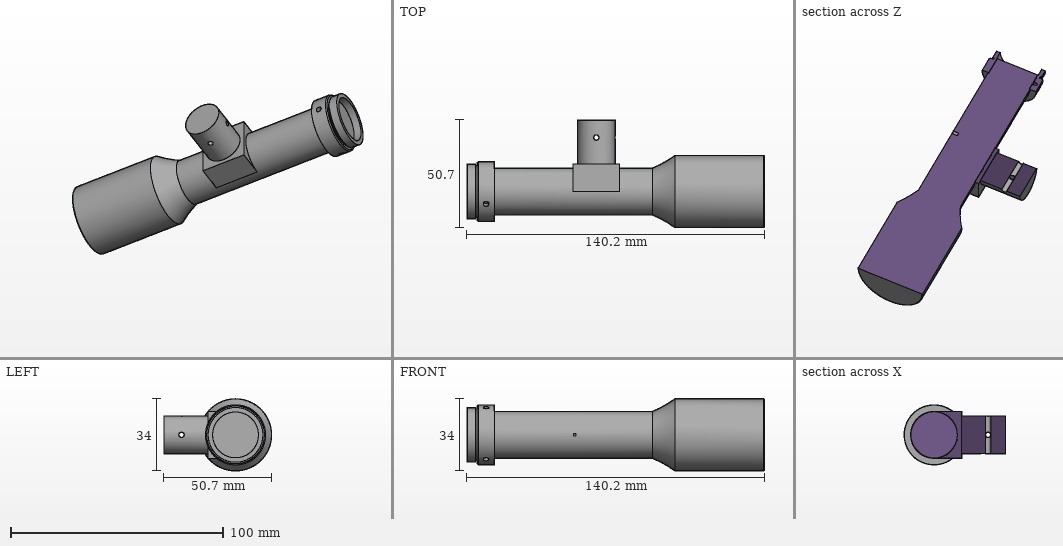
import cadquery as cq
import math

total_length = 140.2

tube_radius = 11.1
head_diameter = 34.0
flare_start = 87.3
flare_end = 98.0
flare_sag = 0.35
head_chamfer = 0.4
vent_x = 50.7
vent_diameter = 1.3
vent_depth = 2.8

block_start = 49.9
block_length = 22.0
block_reach = 13.0

port_radius = 9.0
overall_width = 50.7
port_hole_from_end = 8.3
port_hole_diameter = 2.4

nose_radius = 12.9
nose_length = 4.0
neck_radius = 12.2
ring_start = 4.8
ring_end = 12.9
ring_radius = 14.2
ring_chamfer = 0.5
mount_bore_radius = 10.8
nose_recess = 3.6
screw_x = 9.0
screw_diameter = 2.5
screw_count = 3
first_screw_angle = 114.5

head_radius = head_diameter / 2
port_end = overall_width - head_radius
block_middle = block_start + block_length / 2
port_hole_y = port_end - port_hole_from_end


def revolve_about_x(profile):
    """Turn a half profile drawn in the XZ plane into a round body about X."""
    return profile.close().revolve(360, (0, 0, 0), (1, 0, 0))


def make_barrel():
    """Solid barrel: spigot inside the mount, tube, concave flare and head."""
    flare_length = flare_end - flare_start
    flare_rise = head_radius - tube_radius
    flare_chord = math.hypot(flare_length, flare_rise)
    flare_middle = (
        flare_start + flare_length / 2 + flare_sag * flare_rise / flare_chord,
        tube_radius + flare_rise / 2 - flare_sag * flare_length / flare_chord,
    )
    profile = (
        cq.Workplane("XZ")
        .moveTo(nose_recess, 0)
        .lineTo(nose_recess, mount_bore_radius)
        .lineTo(ring_end, mount_bore_radius)
        .lineTo(ring_end, tube_radius)
        .lineTo(flare_start, tube_radius)
        .threePointArc(flare_middle, (flare_end, head_radius))
        .lineTo(total_length - head_chamfer, head_radius)
        .lineTo(total_length, head_radius - head_chamfer)
        .lineTo(total_length, 0)
    )
    vent = (
        cq.Workplane("XZ", origin=(vent_x, -tube_radius, 0))
        .circle(vent_diameter / 2)
        .extrude(-vent_depth)
    )
    return revolve_about_x(profile).cut(vent)


def make_block():
    """Side block whose round saddle fits the tube; its top and bottom are tangent to it."""
    block = cq.Workplane("XY", origin=(block_start, 0, 0)).box(
        block_length, block_reach, 2 * tube_radius, centered=(False, False, True)
    )
    saddle = (
        cq.Workplane("YZ", origin=(block_start, 0, 0))
        .circle(tube_radius)
        .extrude(block_length)
    )
    return block.cut(saddle)


def make_port():
    """Side port standing on the block, with two crossing holes near its end."""
    port = (
        cq.Workplane("XZ", origin=(block_middle, block_reach, 0))
        .circle(port_radius)
        .extrude(block_reach - port_end)
    )
    for plane in ("XY", "YZ"):
        cross_hole = (
            cq.Workplane(plane, origin=(block_middle, port_hole_y, 0))
            .circle(port_hole_diameter / 2)
            .extrude(port_radius, both=True)
        )
        port = port.cut(cross_hole)
    return port


def make_mount():
    """Mount sleeve: nose, neck and a ring with radial screw holes."""
    profile = (
        cq.Workplane("XZ")
        .moveTo(0, mount_bore_radius)
        .lineTo(0, nose_radius)
        .lineTo(nose_length, nose_radius)
        .lineTo(nose_length, neck_radius)
        .lineTo(ring_start, neck_radius)
        .lineTo(ring_start, ring_radius - ring_chamfer)
        .lineTo(ring_start + ring_chamfer, ring_radius)
        .lineTo(ring_end, ring_radius)
        .lineTo(ring_end, mount_bore_radius)
    )
    mount = revolve_about_x(profile)
    for index in range(screw_count):
        angle = first_screw_angle + index * 360 / screw_count
        screw_hole = (
            cq.Workplane("XY", origin=(screw_x, 0, 0))
            .circle(screw_diameter / 2)
            .extrude(ring_radius)
            .rotate((0, 0, 0), (1, 0, 0), angle - 90)
        )
        mount = mount.cut(screw_hole)
    return mount


barrel = make_barrel()
block = make_block()
port = make_port()
mount = make_mount()

result = cq.Compound.makeCompound([barrel.val(), block.val(), port.val(), mount.val()])